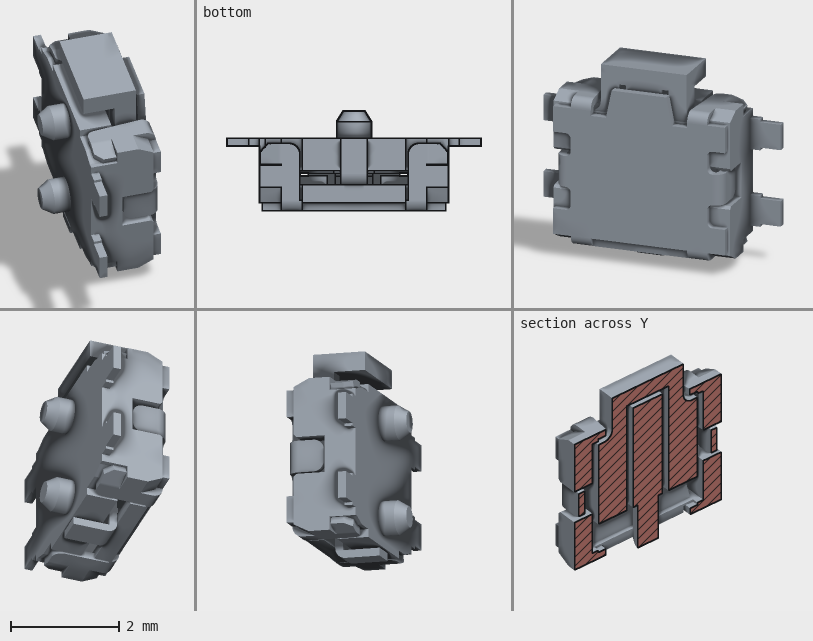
import cadquery as cq
import math


diagonal = math.sqrt(0.5)

base_width = 3.495
base_height = 2.9
base_depth = 1.2
base_half_width = base_width / 2
base_top = base_height / 2
floor_depth = 0.6
cavity_half_width = 1.315
cavity_half_height = 1.25
back_chamfer_z = 0.145
back_chamfer_y = 0.29
window_half_height = 0.35
window_chamfer = 0.05

peg_spacing = 1.8
peg_diameter = 0.65
peg_tip_diameter = 0.4
peg_length = 0.505
peg_taper_length = 0.2

overall_width = 4.7
terminal_spacing = 1.5
terminal_height = 0.5
terminal_root_half_width = 1.945
terminal_root_height = 0.605
terminal_thickness = 0.15

sheet = 0.15
cover_back = base_depth + sheet
cover_half_width = 1.7
bend_outer = 0.197
bend_inner = bend_outer - sheet
bend_start = cover_back - bend_outer
cover_edge = base_top - bend_outer
top_tab_z = 1.7
top_tab_half_width = 0.54
top_tab_root_half_width = 0.655
top_tab_relief = 0.1
latch_half_height = 0.3
latch_tip_y = 0.65
latch_corner = 0.197
latch_face_x = 1.65
latch_bend_x = latch_face_x - bend_outer
relief_corner = 0.1
relief_x = latch_bend_x - relief_corner
relief_end = 0.75

ear_inner_x = 0.955
ear_outer_x = 1.35
top_ear_tip_x = 1.05
top_ear_round = 0.14
bottom_ear_x = 1.0
bottom_ear_round = 0.197
ear_tip_y = 0.1
foot_root_y = 0.49
foot_length = 0.352
foot_angle = math.radians(18)
foot_corner = 0.145
ear_underside = base_top - sheet

pocket_depth = 0.505
pocket_low_z = 1.205
pocket_floor_x = ear_outer_x + (ear_underside - pocket_low_z) / math.tan(foot_angle)
opening_half_width = 1.175

button_width = 1.7
button_half_width = button_width / 2
button_rise = 0.65
lip_height = 0.352
button_top = base_top + button_rise
lip_bottom = button_top - lip_height
lip_front = ear_tip_y
stem_front = 0.7
stem_back = 1.1
flange_back = 1.15
flange_half_width = 1.175
flange_top = 1.175
flange_bottom = -0.66
shoulder_radius = 0.197
notch_half_width = 0.495
rib_half_width = 0.35
rib_fillet = 0.105

spring_back = 0.86
spring_front = spring_back - sheet
spring_top = 1.64
spring_tail_half_width = 0.25
spring_tail_drop = 0.2
spring_tail_bottom = -base_top - spring_tail_drop

pad_top = 0.65
pad_half_width = 1.27
pad_side_half_height = 0.25
pad_half_height = 1.13
pad_end_half_width = 0.375


def block(x0, x1, y0, y1, z0, z1):
    """Box between two opposite corners."""
    return cq.Workplane("XY").box(x1 - x0, y1 - y0, z1 - z0, centered=False).translate((x0, y0, z0))


def centered_block(half_width, y0, y1, z0, z1):
    return block(-half_width, half_width, y0, y1, z0, z1)


def prism_along_y(points, y0, y1):
    """XZ outline extruded from y0 to y1."""
    return cq.Workplane("XZ", origin=(0, y0, 0)).polyline(points).close().extrude(y0 - y1)


def prism_along_x(points, half_width):
    """YZ outline extruded evenly to both sides of X = 0."""
    return cq.Workplane("YZ", origin=(-half_width, 0, 0)).polyline(points).close().extrude(2 * half_width)


def with_mirror(shape, plane):
    return shape.union(shape.mirror(plane))


def four_corners(shape):
    return with_mirror(with_mirror(shape, "YZ"), "XY")


def make_base():
    base = centered_block(base_half_width, 0, base_depth, -base_top, base_top)
    base = base.cut(
        centered_block(cavity_half_width, floor_depth, base_depth, -cavity_half_height, cavity_half_height)
    )
    base = base.cut(centered_block(opening_half_width, floor_depth, base_depth, 0, base_top))
    base = base.cut(centered_block(opening_half_width, floor_depth, spring_back, -base_top, 0))

    ledge = prism_along_x(
        [(spring_back, -base_top), (base_depth, -base_top), (base_depth, flange_bottom)], opening_half_width
    )
    base = base.union(ledge)

    mouth = window_half_height + window_chamfer
    mouth_y = base_depth - window_chamfer
    window = [
        (floor_depth, -window_half_height),
        (mouth_y, -window_half_height),
        (base_depth, -mouth),
        (base_depth, mouth),
        (mouth_y, window_half_height),
        (floor_depth, window_half_height),
    ]
    base = base.cut(prism_along_x(window, base_half_width))

    slope = [
        (base_depth, base_top - back_chamfer_z),
        (base_depth, base_top),
        (base_depth - back_chamfer_y, base_top),
    ]
    corner = prism_along_x(slope, base_half_width).cut(
        centered_block(ear_outer_x, 0, base_depth, -base_top, base_top)
    )
    base = base.cut(with_mirror(corner, "XY"))

    slot = block(ear_inner_x, ear_outer_x, 0, base_depth, ear_underside, base_top)
    pocket = prism_along_y(
        [
            (ear_inner_x, base_top),
            (ear_inner_x, ear_underside),
            (ear_outer_x, ear_underside),
            (pocket_floor_x, pocket_low_z),
            (base_half_width, pocket_low_z),
            (base_half_width, base_top),
        ],
        0,
        pocket_depth,
    )
    return base.cut(four_corners(slot.union(pocket)))


def make_peg(z):
    return (
        cq.Workplane("XZ", origin=(0, 0, z))
        .circle(peg_diameter / 2)
        .extrude(peg_length)
        .faces("<Y")
        .chamfer(peg_taper_length, (peg_diameter - peg_tip_diameter) / 2)
    )


def make_terminals():
    half_root = terminal_root_height / 2
    half_tip = terminal_height / 2
    z = terminal_spacing / 2
    root = centered_block(terminal_root_half_width, 0, terminal_thickness, z - half_root, z + half_root)
    tip = centered_block(overall_width / 2, 0, terminal_thickness, z - half_tip, z + half_tip)
    return with_mirror(root.union(tip), "XY")


def make_cover_plate():
    plate = centered_block(cover_half_width, base_depth, cover_back, -cover_edge, cover_edge)

    root_z = cover_edge - top_tab_relief
    plate = plate.cut(centered_block(ear_inner_x, base_depth, cover_back, root_z, cover_edge))
    top_tab = [
        (-top_tab_root_half_width, root_z),
        (-top_tab_half_width, top_tab_z),
        (top_tab_half_width, top_tab_z),
        (top_tab_root_half_width, root_z),
    ]
    plate = plate.union(prism_along_y(top_tab, base_depth, cover_back))

    slot = block(relief_x, cover_half_width, base_depth, cover_back, latch_half_height, relief_end)
    slot = slot.faces("<X").edges("|Y").fillet(relief_corner)
    fold_end = block(
        latch_bend_x, cover_half_width, base_depth, cover_back, -latch_half_height, latch_half_height
    )
    relief = with_mirror(slot, "XY").union(fold_end)
    return plate.cut(with_mirror(relief, "YZ"))


def make_latch():
    """Tab folded forward from the +X edge of the cover."""
    latch = (
        cq.Workplane("XY", origin=(0, 0, -latch_half_height))
        .moveTo(latch_bend_x, cover_back)
        .threePointArc(
            (latch_bend_x + bend_outer * diagonal, bend_start + bend_outer * diagonal),
            (latch_face_x, bend_start),
        )
        .lineTo(latch_face_x, latch_tip_y)
        .lineTo(latch_face_x - sheet, latch_tip_y)
        .lineTo(latch_face_x - sheet, bend_start)
        .threePointArc(
            (latch_bend_x + bend_inner * diagonal, bend_start + bend_inner * diagonal),
            (latch_bend_x, base_depth),
        )
        .close()
        .extrude(2 * latch_half_height)
    )
    return latch.faces("<Y").edges("|X").fillet(latch_corner)


def make_ear(root_inner_x, tip_inner_x, tip_radius):
    """Ear at the +X end of the top edge: fold, flat leg and angled foot."""
    fold = (
        cq.Workplane("YZ", origin=(ear_inner_x, 0, 0))
        .moveTo(cover_back, cover_edge)
        .threePointArc(
            (bend_start + bend_outer * diagonal, cover_edge + bend_outer * diagonal), (bend_start, base_top)
        )
        .lineTo(bend_start, ear_underside)
        .threePointArc(
            (bend_start + bend_inner * diagonal, cover_edge + bend_inner * diagonal), (base_depth, cover_edge)
        )
        .close()
        .extrude(ear_outer_x - ear_inner_x)
    )
    leg = (
        cq.Workplane("XY", origin=(0, 0, ear_underside))
        .polyline(
            [
                (root_inner_x, bend_start),
                (tip_inner_x, ear_tip_y),
                (ear_outer_x, ear_tip_y),
                (ear_outer_x, bend_start),
            ]
        )
        .close()
        .extrude(sheet)
        .faces("<Y")
        .edges("<X")
        .fillet(tip_radius)
    )

    along_x = math.cos(foot_angle)
    along_z = -math.sin(foot_angle)
    arc_end = (ear_outer_x - sheet * along_z, ear_underside + sheet * along_x)
    arc_middle = (
        ear_outer_x + sheet * math.sin(foot_angle / 2),
        ear_underside + sheet * math.cos(foot_angle / 2),
    )
    foot = (
        cq.Workplane("XZ", origin=(0, ear_tip_y, 0))
        .moveTo(ear_outer_x, ear_underside)
        .lineTo(ear_outer_x, base_top)
        .threePointArc(arc_middle, arc_end)
        .lineTo(arc_end[0] + foot_length * along_x, arc_end[1] + foot_length * along_z)
        .lineTo(ear_outer_x + foot_length * along_x, ear_underside + foot_length * along_z)
        .close()
        .extrude(ear_tip_y - foot_root_y)
    )
    foot = foot.faces(">X").edges("<Y").chamfer(foot_corner)
    return fold.union(leg).union(foot)


def make_button():
    lip = centered_block(button_half_width, lip_front, stem_back, lip_bottom, button_top)
    stem = centered_block(button_half_width, stem_front, stem_back, flange_top, lip_bottom)
    flange = centered_block(flange_half_width, stem_front, flange_back, flange_bottom, flange_top)

    shoulder_x = button_half_width + shoulder_radius
    shoulder_z = flange_top + shoulder_radius
    mid_x = shoulder_x - shoulder_radius * diagonal
    mid_z = shoulder_z - shoulder_radius * diagonal
    shoulder = (
        cq.Workplane("XZ", origin=(0, stem_front, 0))
        .moveTo(button_half_width, flange_top)
        .lineTo(shoulder_x, flange_top)
        .threePointArc((mid_x, mid_z), (button_half_width, shoulder_z))
        .close()
        .extrude(stem_front - stem_back)
    )
    button = lip.union(stem).union(flange).union(with_mirror(shoulder, "YZ"))
    button = button.cut(centered_block(notch_half_width, stem_front, flange_back, flange_bottom, lip_bottom))

    rib = centered_block(rib_half_width, spring_back, stem_back, flange_bottom, lip_bottom)
    rib_foot = centered_block(rib_half_width, stem_back, flange_back, flange_bottom, flange_top)
    round_y = spring_back - rib_fillet
    round_block = centered_block(rib_half_width, round_y, spring_back, lip_bottom - rib_fillet, lip_bottom)
    round_tool = (
        cq.Workplane("YZ", origin=(-rib_half_width, round_y, lip_bottom - rib_fillet))
        .circle(rib_fillet)
        .extrude(2 * rib_half_width)
    )
    return button.union(rib).union(rib_foot).union(round_block.cut(round_tool))


def make_spring():
    """Upright strip against the button with a tail folded forward under the base."""
    upright = centered_block(rib_half_width, spring_front, spring_back, flange_bottom, spring_top)
    fold_z = spring_tail_bottom + bend_outer
    fold_y = spring_back - bend_outer
    tail = (
        cq.Workplane("YZ", origin=(-spring_tail_half_width, 0, 0))
        .moveTo(spring_back, flange_bottom)
        .lineTo(spring_back, fold_z)
        .threePointArc(
            (fold_y + bend_outer * diagonal, fold_z - bend_outer * diagonal), (fold_y, spring_tail_bottom)
        )
        .lineTo(0, spring_tail_bottom)
        .lineTo(0, spring_tail_bottom + sheet)
        .lineTo(spring_front, spring_tail_bottom + sheet)
        .lineTo(spring_front, flange_bottom)
        .close()
        .extrude(2 * spring_tail_half_width)
    )
    return upright.union(tail)


def make_contact_pad():
    """Eight-sided pad on the cavity floor with a boss that carries the spring."""
    right_side = [
        (pad_end_half_width, -pad_half_height),
        (pad_half_width, -pad_side_half_height),
        (pad_half_width, pad_side_half_height),
        (pad_end_half_width, pad_half_height),
    ]
    left_side = [(-x, z) for x, z in reversed(right_side)]
    points = right_side + left_side
    pad = prism_along_y(points, floor_depth, pad_top)
    boss = centered_block(rib_half_width, floor_depth, spring_front, -rib_half_width, rib_half_width)
    return pad.union(boss)


result = make_base()
for peg_z in (-peg_spacing / 2, peg_spacing / 2):
    result = result.union(make_peg(peg_z))
result = result.union(make_terminals())
result = result.union(make_cover_plate())
result = result.union(with_mirror(make_latch(), "YZ"))
top_ear = make_ear(ear_inner_x, top_ear_tip_x, top_ear_round)
bottom_ear = make_ear(bottom_ear_x, bottom_ear_x, bottom_ear_round).mirror("XY")
result = result.union(with_mirror(top_ear.union(bottom_ear), "YZ"))
result = result.union(make_contact_pad())
result = result.union(make_spring())
result = result.union(make_button())
result = result.clean()